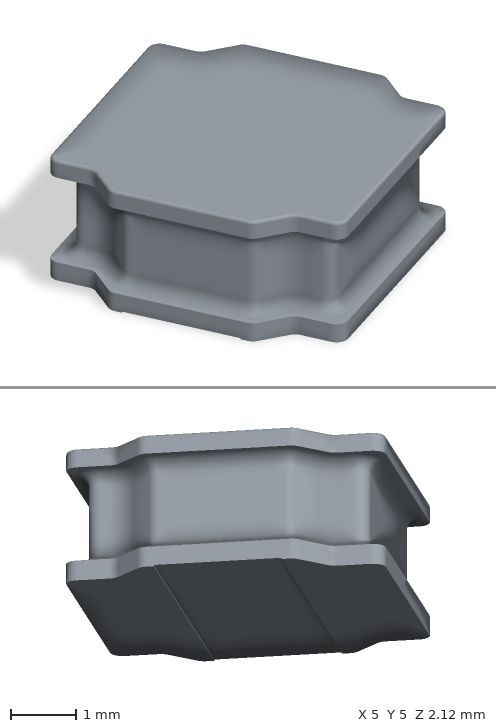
import cadquery as cq
import math

half_width = 2.5
shoulder_y = 2.0
front_half_length = 1.2
slope_angle = 45.0
corner_radius = 0.2
notch_radius = 0.2

terminal_thickness = 0.02
body_height = 2.1
flange_thickness = 0.3
top_edge_radius = 0.05

core_inset = 0.3
cove_radius = 0.2

terminal_gap = 2.0

core_base = terminal_thickness + flange_thickness
core_height = body_height - 2 * flange_thickness
upper_flange_base = core_base + core_height
terminal_length = half_width - terminal_gap / 2
terminal_center_x = (half_width + terminal_gap / 2) / 2


def notched_prism(inset, concave_radius, base_z, height):
    """Prism of the flange outline moved inwards by inset, with rounded vertical edges."""
    flat = half_width - inset
    shoulder = shoulder_y - inset
    slope_shift = inset * math.tan(math.radians(slope_angle / 2))
    slope_outer_x = front_half_length - slope_shift
    slope_inner_x = slope_outer_x + (flat - shoulder) / math.tan(math.radians(slope_angle))

    quarter = [(flat, shoulder), (slope_inner_x, shoulder), (slope_outer_x, flat)]
    back_half = quarter + [(-x, y) for x, y in reversed(quarter)]
    front_half = [(-x, -y) for x, y in back_half]
    outline = cq.Workplane("XY", origin=(0, 0, base_z)).polyline(back_half + front_half).close()
    prism = outline.extrude(height)

    def edges_at(corner_x):
        """Test for edges whose centre lies at plus or minus corner_x."""
        return lambda edge: math.isclose(abs(edge.Center().x), corner_x)

    prism = prism.edges("|Z").filter(edges_at(slope_inner_x)).fillet(concave_radius)
    prism = prism.edges("|Z").filter(edges_at(slope_outer_x)).fillet(corner_radius)
    return prism.edges("|Z").filter(edges_at(flat)).fillet(corner_radius)


def make_flange(base_z):
    """One of the two equal end plates of the body."""
    return notched_prism(0, notch_radius, base_z, flange_thickness)


def make_body():
    """Spool-shaped body: two flanges joined by a core with coved ends."""
    core = notched_prism(core_inset, notch_radius + core_inset, core_base, core_height)
    lower_flange = make_flange(terminal_thickness)
    upper_flange = make_flange(upper_flange_base).faces(">Z").edges().fillet(top_edge_radius)
    body = lower_flange.union(core).union(upper_flange)

    ring_faces = body.faces("|Z").filter(lambda face: face.innerWires())
    core_ends = [edge for face in ring_faces.vals() for wire in face.innerWires() for edge in wire.Edges()]
    return body.newObject(core_ends).fillet(cove_radius)


def make_terminal(side):
    """Thin contact plate under one end of the lower flange; side is -1 or +1 along X."""
    plate = notched_prism(0, notch_radius, 0, terminal_thickness)
    end_block = cq.Workplane("XY").box(terminal_length, 2 * half_width, 2 * terminal_thickness)
    return plate.intersect(end_block.translate((side * terminal_center_x, 0, 0)))


body = make_body()
terminals = [make_terminal(side) for side in (-1, 1)]

result = cq.Compound.makeCompound([body.val(), *[terminal.val() for terminal in terminals]])